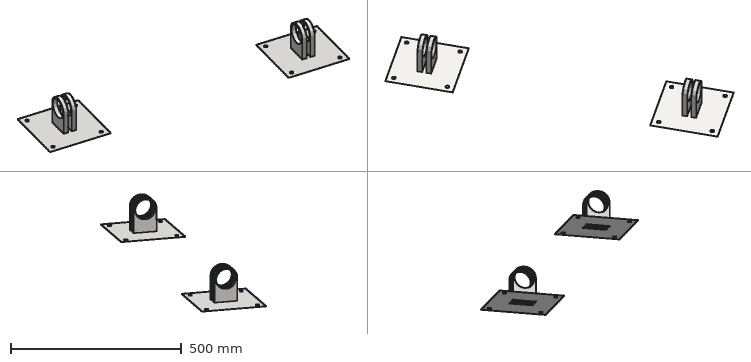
import cadquery as cq

overall_length = 1003.0

plate_width = 197.0
plate_length = 204.0
plate_thickness = 1.0
mount_hole_diameter = 10.0
mount_hole_inset_x = 20.0
mount_hole_inset_y = 21.0

overall_height = 105.0
lug_width = 70.0
lug_thickness = 15.0
lug_gap = 12.0
bore_diameter = 60.0

bracket_spacing = overall_length - plate_length
lug_radius = lug_width / 2
bore_height = overall_height - lug_radius
lug_pitch = lug_thickness + lug_gap


def make_plate():
    """Thin base plate on Z = 0 with a mounting hole near each corner."""
    return (
        cq.Workplane("XY")
        .rect(plate_width, plate_length)
        .extrude(plate_thickness)
        .faces(">Z")
        .workplane()
        .rect(
            plate_width - 2 * mount_hole_inset_x,
            plate_length - 2 * mount_hole_inset_y,
            forConstruction=True,
        )
        .vertices()
        .hole(mount_hole_diameter)
    )


def make_lug(center_y):
    """Round-topped upright lug, centred at center_y, with a bore along Y."""
    return (
        cq.Workplane("XZ", origin=(0, center_y + lug_thickness / 2, 0))
        .moveTo(-lug_radius, 0)
        .lineTo(lug_radius, 0)
        .lineTo(lug_radius, bore_height)
        .threePointArc((0, overall_height), (-lug_radius, bore_height))
        .close()
        .moveTo(0, bore_height)
        .circle(bore_diameter / 2)
        .extrude(lug_thickness)
    )


def make_bracket(center_y):
    """One bracket: the plate and its two lugs as a single solid."""
    bracket = make_plate()
    for side in (-1, 1):
        bracket = bracket.union(make_lug(side * lug_pitch / 2))
    return bracket.translate((0, center_y, 0))


brackets = [make_bracket(side * bracket_spacing / 2) for side in (-1, 1)]

result = cq.Compound.makeCompound([bracket.val() for bracket in brackets])